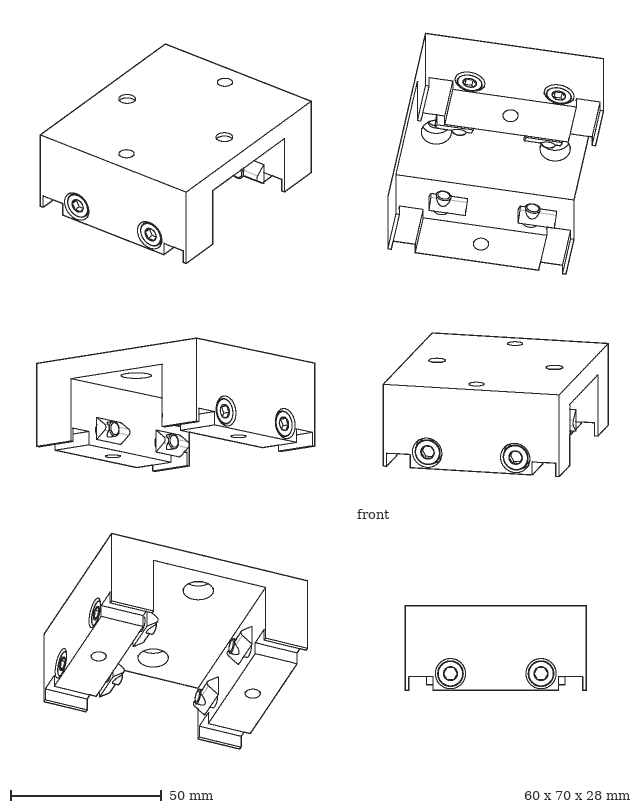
import cadquery as cq
import math

LENGTH_X = 60.0
WIDTH_Y = 70.0
HEIGHT = 28.0
CHANNEL_WIDTH = 40.0
CHANNEL_HEIGHT = 21.0
INNER_Y = CHANNEL_WIDTH / 2
OUTER_Y = WIDTH_Y / 2
LEG_THICKNESS = OUTER_Y - INNER_Y

NOTCH_LENGTH = 8.0
NOTCH_HEIGHT = 4.5
END_WALL = 1.2
NOTCH_X = LENGTH_X / 2 - END_WALL - NOTCH_LENGTH / 2

LEG_HOLE_DIA = 5.0
LEG_HOLE_Y = (INNER_Y + OUTER_Y) / 2
WEB_HOLE_DIA = 5.5
WEB_HOLE_X = 20.0
WEB_BORE_DIA = 10.0
WEB_BORE_LEDGE = 1.3
WEB_BORE_DEPTH = HEIGHT - CHANNEL_HEIGHT - WEB_BORE_LEDGE

SCREW_X = 15.0
SCREW_Z = 5.5
SHANK_DIA = 5.0
HEAD_DIA = 8.5
HEAD_HEIGHT = 5.0
HEAD_CHAMFER = 0.2
HEAD_RECESS = 0.5
HEAD_BORE_DIA = 10.0
HEAD_BORE_DEPTH = HEAD_RECESS + HEAD_HEIGHT
SOCKET_WIDTH = 4.0
SOCKET_CORNER_DIA = SOCKET_WIDTH / math.cos(math.pi / 6)
SOCKET_DEPTH = 2.5
TIP_REACH = 6.3
TIP_CHAMFER_LENGTH = 0.25
TIP_CHAMFER_RADIAL = 0.5

WEDGE_GAP = 2.0
WEDGE_HALF_HEIGHT = 3.7
WEDGE_SLOPE = math.radians(37.5)
WEDGE_NOSE_RADIUS = 1.3
WEDGE_LONG_END = 8.0
WEDGE_SHORT_END = 4.2


def cylinder_y(diameter, y_start, y_end, x=0.0, z=0.0):
    """Cylinder along Y between two Y positions."""
    return cq.Workplane(
        cq.Solid.makeCylinder(diameter / 2, y_end - y_start, cq.Vector(x, y_start, z), cq.Vector(0, 1, 0))
    )


def make_housing():
    body = cq.Workplane("XY").box(LENGTH_X, WIDTH_Y, HEIGHT, centered=(True, True, False))
    channel = cq.Workplane("XY").box(LENGTH_X, CHANNEL_WIDTH, CHANNEL_HEIGHT, centered=(True, True, False))
    body = body.cut(channel)

    notches = (
        cq.Workplane("XY")
        .pushPoints([(-NOTCH_X, 0), (NOTCH_X, 0)])
        .rect(NOTCH_LENGTH, WIDTH_Y)
        .extrude(NOTCH_HEIGHT)
    )
    body = body.cut(notches)

    leg_holes = (
        cq.Workplane("XY")
        .pushPoints([(0, -LEG_HOLE_Y), (0, LEG_HOLE_Y)])
        .circle(LEG_HOLE_DIA / 2)
        .extrude(HEIGHT)
    )
    body = body.cut(leg_holes)

    web_points = [(-WEB_HOLE_X, 0), (WEB_HOLE_X, 0)]
    web_holes = cq.Workplane("XY").pushPoints(web_points).circle(WEB_HOLE_DIA / 2).extrude(HEIGHT)
    web_bores = (
        cq.Workplane("XY", origin=(0, 0, CHANNEL_HEIGHT))
        .pushPoints(web_points)
        .circle(WEB_BORE_DIA / 2)
        .extrude(WEB_BORE_DEPTH)
    )
    body = body.cut(web_holes).cut(web_bores)

    for x in (-SCREW_X, SCREW_X):
        body = body.cut(cylinder_y(SHANK_DIA, -OUTER_Y, OUTER_Y, x, SCREW_Z))
        for y_start in (-OUTER_Y, OUTER_Y - HEAD_BORE_DEPTH):
            body = body.cut(cylinder_y(HEAD_BORE_DIA, y_start, y_start + HEAD_BORE_DEPTH, x, SCREW_Z))
    return body


def make_wedge():
    """Prism along X with a rounded nose; its flat back stands WEDGE_GAP inside the -Y leg."""
    back_y = -INNER_Y + WEDGE_GAP
    sharp_nose_y = back_y + WEDGE_HALF_HEIGHT / math.tan(WEDGE_SLOPE)
    nose_center_y = sharp_nose_y - WEDGE_NOSE_RADIUS / math.sin(WEDGE_SLOPE)
    tangent_y = nose_center_y + WEDGE_NOSE_RADIUS * math.sin(WEDGE_SLOPE)
    tangent_z = WEDGE_NOSE_RADIUS * math.cos(WEDGE_SLOPE)
    return (
        cq.Workplane("YZ", origin=(-WEDGE_LONG_END, 0, 0))
        .moveTo(back_y, -WEDGE_HALF_HEIGHT)
        .lineTo(tangent_y, -tangent_z)
        .threePointArc((nose_center_y + WEDGE_NOSE_RADIUS, 0), (tangent_y, tangent_z))
        .lineTo(back_y, WEDGE_HALF_HEIGHT)
        .close()
        .extrude(WEDGE_LONG_END + WEDGE_SHORT_END)
    )


def make_clamp_screw():
    """Screw with its axis on the Y axis, placed at the depth it takes in the -Y leg."""
    head_y = -OUTER_Y + HEAD_RECESS
    seat_y = head_y + HEAD_HEIGHT
    tip_y = -INNER_Y + TIP_REACH
    head_radius = HEAD_DIA / 2
    shank_radius = SHANK_DIA / 2
    screw = (
        cq.Workplane("XY")
        .moveTo(0, head_y)
        .lineTo(head_radius - HEAD_CHAMFER, head_y)
        .lineTo(head_radius, head_y + HEAD_CHAMFER)
        .lineTo(head_radius, seat_y)
        .lineTo(shank_radius, seat_y)
        .lineTo(shank_radius, tip_y - TIP_CHAMFER_LENGTH)
        .lineTo(shank_radius - TIP_CHAMFER_RADIAL, tip_y)
        .lineTo(0, tip_y)
        .close()
        .revolve(360, (0, 0, 0), (0, 1, 0))
    )
    socket = (
        cq.Workplane("XZ", origin=(0, head_y, 0))
        .polygon(6, SOCKET_CORNER_DIA)
        .extrude(-SOCKET_DEPTH)
    )
    socket_mouth = cq.Workplane(
        cq.Solid.makeCone(
            SOCKET_CORNER_DIA / 2,
            SOCKET_WIDTH / 2,
            (SOCKET_CORNER_DIA - SOCKET_WIDTH) / 2,
            cq.Vector(0, head_y, 0),
            cq.Vector(0, 1, 0),
        )
    )
    return screw.union(make_wedge()).cut(socket).cut(socket_mouth)


housing = make_housing()

clamp_screws = []
for turn in (0, 180):
    for x in (-SCREW_X, SCREW_X):
        clamp_screw = (
            make_clamp_screw()
            .translate((x, 0, SCREW_Z))
            .rotate((0, 0, 0), (0, 0, 1), turn)
        )
        clamp_screws.append(clamp_screw.val())

result = cq.Compound.makeCompound([housing.val(), *clamp_screws])